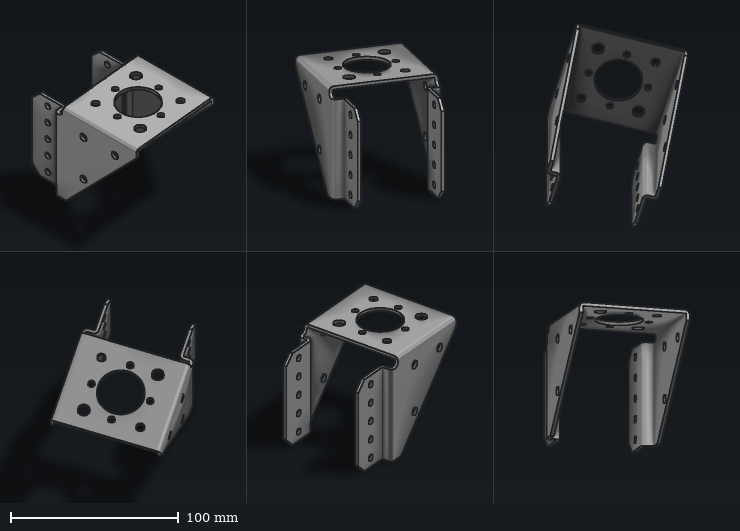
import cadquery as cq

length = 90.1
width = 69.35
height = 69.7

sheet = 2.25
inner_radius = 0.9
outer_radius = inner_radius + sheet

tab_height = 63.3
tab_hole_count = 5
tab_hole_pitch = tab_height / tab_hole_count
tab_hole_diameter = 4.1
tab_hole_x = tab_hole_pitch
tab_chamfer = tab_hole_pitch / 2
jog_x = 24.3
jog_depth = 7.0

foot_end_x = 33.8
side_hole_diameter = 5.1
side_hole_x = 47.6
side_hole_z = 56.5
side_hole_spacing_x = 25.3
side_hole_spacing_z = 32.15

top_start_x = jog_x + 2 * outer_radius
top_center_x = (top_start_x + length) / 2
bore_diameter = 28.55
screw_hole_offset = 18.4
screw_hole_diameter = 4.1
medium_hole_offset = 17.9
medium_hole_diameter = 5.1
large_hole_offset = 17.6
large_hole_diameter = 7.2


def top_channel():
    """Inverted U bent from the sheet, running along X."""
    run = length - top_start_x
    outer = (
        cq.Workplane("XY")
        .box(run, width, height, centered=(False, True, False))
        .edges("|X and >Z")
        .fillet(outer_radius)
    )
    inner = (
        cq.Workplane("XY")
        .box(run, width - 2 * sheet, height - sheet, centered=(False, True, False))
        .edges("|X and >Z")
        .fillet(inner_radius)
    )
    return outer.cut(inner).translate((top_start_x, 0, 0))


def jogged_side():
    """Side sheet on -Y: a straight run that jogs inward to the tab."""
    outer_y = -width / 2
    inner_y = outer_y + sheet
    tab_outer_y = outer_y + jog_depth
    tab_inner_y = tab_outer_y + sheet
    jog_end_x = jog_x + sheet
    outer_bend_x = jog_x + outer_radius
    inner_bend_x = jog_x - inner_radius
    return (
        cq.Workplane("XY")
        .moveTo(length, outer_y)
        .lineTo(outer_bend_x, outer_y)
        .radiusArc((jog_x, outer_y + outer_radius), outer_radius)
        .lineTo(jog_x, tab_outer_y - inner_radius)
        .radiusArc((inner_bend_x, tab_outer_y), -inner_radius)
        .lineTo(0, tab_outer_y)
        .lineTo(0, tab_inner_y)
        .lineTo(inner_bend_x, tab_inner_y)
        .radiusArc((jog_end_x, tab_inner_y - outer_radius), outer_radius)
        .lineTo(jog_end_x, inner_y + inner_radius)
        .radiusArc((outer_bend_x, inner_y), -inner_radius)
        .lineTo(length, inner_y)
        .close()
        .extrude(height - outer_radius)
    )


def side_outline():
    """Side silhouette of the bracket, as a prism across the full width."""
    relief_radius = height - outer_radius - tab_height
    return (
        cq.Workplane("XZ", origin=(0, width / 2, 0))
        .moveTo(tab_chamfer, 0)
        .lineTo(foot_end_x, 0)
        .lineTo(length, tab_height)
        .lineTo(length, height)
        .lineTo(top_start_x, height)
        .lineTo(top_start_x, tab_height + relief_radius)
        .radiusArc((top_start_x - relief_radius, tab_height), relief_radius)
        .lineTo(tab_chamfer, tab_height)
        .lineTo(0, tab_height - tab_chamfer)
        .lineTo(0, tab_chamfer)
        .close()
        .extrude(width)
    )


def side_holes(points, diameter):
    """Drills along Y through both sides, at (x, z) points."""
    return (
        cq.Workplane("XZ", origin=(0, width / 2, 0))
        .pushPoints(points)
        .circle(diameter / 2)
        .extrude(width)
    )


def top_holes(offsets, diameter):
    """Drills through the top plate, at (x, y) offsets from its center."""
    return (
        cq.Workplane("XY", origin=(top_center_x, 0, height - sheet))
        .pushPoints(offsets)
        .circle(diameter / 2)
        .extrude(sheet)
    )


near_side = jogged_side()
far_side = near_side.mirror("XZ")
bracket = top_channel().union(near_side).union(far_side).intersect(side_outline())

tab_points = [(tab_hole_x, tab_hole_pitch * (row + 0.5)) for row in range(tab_hole_count)]
bracket = bracket.cut(side_holes(tab_points, tab_hole_diameter))

side_points = [
    (side_hole_x, side_hole_z),
    (side_hole_x + side_hole_spacing_x, side_hole_z),
    (side_hole_x, side_hole_z - side_hole_spacing_z),
]
bracket = bracket.cut(side_holes(side_points, side_hole_diameter))

bracket = bracket.cut(top_holes([(0, 0)], bore_diameter))

screw_offsets = [
    (screw_hole_offset, 0),
    (-screw_hole_offset, 0),
    (0, screw_hole_offset),
    (0, -screw_hole_offset),
]
bracket = bracket.cut(top_holes(screw_offsets, screw_hole_diameter))

medium_offsets = [(side * medium_hole_offset, side * medium_hole_offset) for side in (-1, 1)]
bracket = bracket.cut(top_holes(medium_offsets, medium_hole_diameter))

large_offsets = [(side * large_hole_offset, -side * large_hole_offset) for side in (-1, 1)]
result = bracket.cut(top_holes(large_offsets, large_hole_diameter))